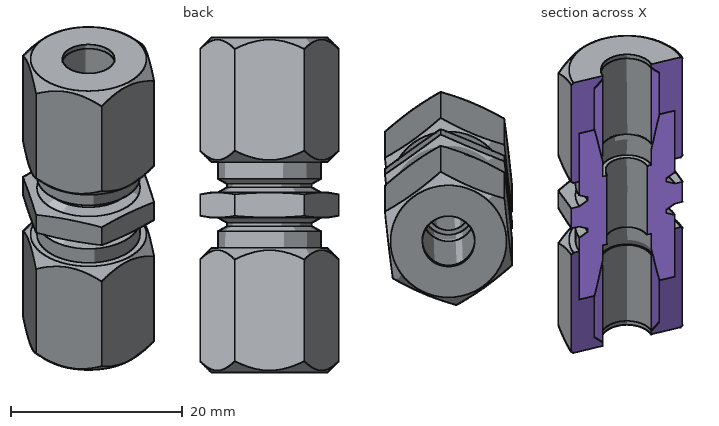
import cadquery as cq
import math


total_length = 39.0
half_length = total_length / 2
hex_across_flats = 14.0
hex_across_corners = hex_across_flats / math.cos(math.radians(30))
corner_radius = hex_across_corners / 2
hex_face_radius = 6.75
chamfer_radial = corner_radius - hex_face_radius

body_half_length = 12.0
body_hex_half_height = 1.5
body_hex_chamfer_drop = 0.25
stud_radius = 6.0
neck_radius = 4.95
neck_start = 2.05
neck_end = 2.45
groove_flank_height = neck_start - body_hex_half_height
groove_end = neck_end + groove_flank_height

bore_radius = 2.5
tube_radius = 3.05
tube_stop = 5.0

ring_radius = 4.05
seat_half_angle = 12.0
ring_nose_thickness = 0.15
seat_slope = math.tan(math.radians(seat_half_angle))
seat_bottom = body_half_length - (ring_radius - tube_radius) / seat_slope
ring_nose_radius = tube_radius + ring_nose_thickness
ring_nose = seat_bottom + ring_nose_thickness / seat_slope

nut_length = 14.5
nut_bottom = half_length - nut_length
nut_chamfer_drop = chamfer_radial
nut_lip_thickness = 0.6
lip_bottom = half_length - nut_lip_thickness
shoulder_base = lip_bottom - (ring_radius - tube_radius)


def revolve_profile(points):
    """Revolve a closed outline of (radius, height) points about Z."""
    return cq.Workplane("XZ").polyline(points).close().revolve(360, (0, 0), (0, 1))


def chamfered_hexagon(bottom, top, chamfer_drop):
    """Hexagonal prism with corners on X and conical chamfers at both ends."""
    prism = cq.Workplane("XY").workplane(offset=bottom).polygon(6, hex_across_corners).extrude(top - bottom)
    envelope = revolve_profile([
        (0, bottom),
        (hex_face_radius, bottom),
        (corner_radius, bottom + chamfer_drop),
        (corner_radius, top - chamfer_drop),
        (hex_face_radius, top),
        (0, top),
    ])
    return prism.intersect(envelope)


def make_stud():
    """Upper threaded stud with its relief groove next to the hexagon."""
    return revolve_profile([
        (0, 0),
        (stud_radius, 0),
        (stud_radius, body_hex_half_height),
        (neck_radius, neck_start),
        (neck_radius, neck_end),
        (stud_radius, groove_end),
        (stud_radius, body_half_length),
        (0, body_half_length),
    ])


def make_passage():
    """Upper half of the body's passage: bore, tube socket and conical ring seat."""
    return revolve_profile([
        (0, 0),
        (bore_radius, 0),
        (bore_radius, tube_stop),
        (tube_radius, tube_stop),
        (tube_radius, seat_bottom),
        (ring_radius, body_half_length),
        (0, body_half_length),
    ])


def mirrored_down(shape):
    return shape.mirror("XY")


def make_body():
    stud = make_stud()
    passage = make_passage()
    body = chamfered_hexagon(-body_hex_half_height, body_hex_half_height, body_hex_chamfer_drop)
    body = body.union(stud).union(mirrored_down(stud))
    return body.cut(passage).cut(mirrored_down(passage))


def make_nut():
    """Upper nut, hollowed for the stud and the cutting ring."""
    cavity = revolve_profile([
        (0, nut_bottom),
        (stud_radius, nut_bottom),
        (stud_radius, body_half_length),
        (ring_radius, body_half_length),
        (ring_radius, shoulder_base),
        (tube_radius, lip_bottom),
        (tube_radius, half_length),
        (0, half_length),
    ])
    return chamfered_hexagon(nut_bottom, half_length, nut_chamfer_drop).cut(cavity)


def make_cutting_ring():
    """Upper ring, wedged between the body's conical seat and the nut's inner shoulder."""
    return revolve_profile([
        (tube_radius, ring_nose),
        (ring_nose_radius, ring_nose),
        (ring_radius, body_half_length),
        (ring_radius, shoulder_base),
        (tube_radius, lip_bottom),
    ])


solids = [make_body().solids().val()]
for make_part in (make_nut, make_cutting_ring):
    upper_part = make_part()
    solids.append(upper_part.solids().val())
    solids.append(mirrored_down(upper_part).solids().val())

result = cq.Compound.makeCompound(solids)